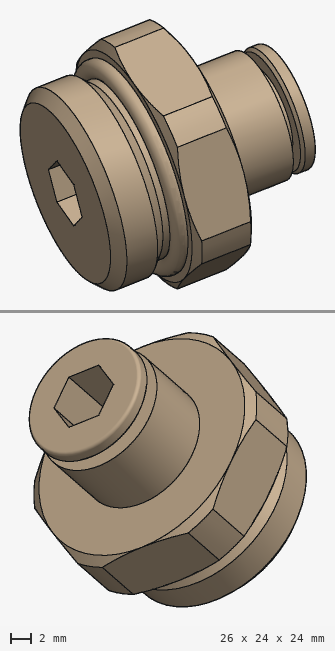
import cadquery as cq
import math

end_chamfer_y = 1.17
thread_end_y = 4.52
groove_start_y = 5.72
ring_start_y = 6.15
hex_start_y = 7.5
hex_end_y = 14.0
sleeve_end_y = 21.35
collar_start_y = 22.4
total_length = 24.0

thread_radius = 10.5
groove_radius = 9.33
ring_radius = 11.2
sleeve_radius = 6.73
collar_neck_radius = 4.6
collar_radius = 6.53

ring_section_radius = 1.01
collar_edge = 0.35

hex_across_flats = 24.0
hex_turned_radius = 13.0
hex_chamfer_angle = 30
socket_across_flats = 6.0


def disc(radius, start, end):
    """Solid cylinder along Y between two stations."""
    return cq.Workplane("XZ", origin=(0, start, 0)).circle(radius).extrude(start - end)


def hex_prism(across_flats, start, end):
    """Hexagonal prism along Y with its corners on the X axis."""
    across_corners = across_flats / math.cos(math.radians(30))
    return cq.Workplane("XZ", origin=(0, start, 0)).polygon(6, across_corners).extrude(start - end)


def revolve_profile(points):
    """Revolve a closed (radius, y) outline about the Y axis."""
    return cq.Workplane("XY").polyline(points).close().revolve(360, (0, 0), (0, 1))


def threaded_end():
    return revolve_profile([
        (0, 0),
        (groove_radius, 0),
        (thread_radius, end_chamfer_y),
        (thread_radius, thread_end_y),
        (groove_radius, groove_start_y),
        (groove_radius, hex_start_y),
        (0, hex_start_y),
    ])


def seal_ring():
    """O-ring seated in the groove and partly sunk into the hexagon face."""
    centre = cq.Vector(0, ring_start_y + ring_section_radius, 0)
    ring_axis = cq.Vector(0, 1, 0)
    centreline_radius = ring_radius - ring_section_radius
    return cq.Workplane(cq.Solid.makeTorus(centreline_radius, ring_section_radius, centre, ring_axis))


def wrench_hex():
    face_radius = hex_across_flats / 2
    chamfer_depth = (hex_turned_radius - face_radius) * math.tan(math.radians(hex_chamfer_angle))
    turned_blank = revolve_profile([
        (0, hex_start_y),
        (face_radius, hex_start_y),
        (hex_turned_radius, hex_start_y + chamfer_depth),
        (hex_turned_radius, hex_end_y - chamfer_depth),
        (face_radius, hex_end_y),
        (0, hex_end_y),
    ])
    return hex_prism(hex_across_flats, hex_start_y, hex_end_y).intersect(turned_blank)


def release_collar():
    neck = disc(collar_neck_radius, sleeve_end_y, collar_start_y)
    collar = disc(collar_radius, collar_start_y, total_length)
    collar = collar.faces(">Y").edges().fillet(collar_edge)
    collar = collar.faces("<Y").edges().chamfer(collar_edge)
    return neck.union(collar)


sleeve = disc(sleeve_radius, hex_end_y, sleeve_end_y)
body = threaded_end().union(seal_ring()).union(wrench_hex()).union(sleeve).union(release_collar())

result = body.cut(hex_prism(socket_across_flats, 0, total_length))